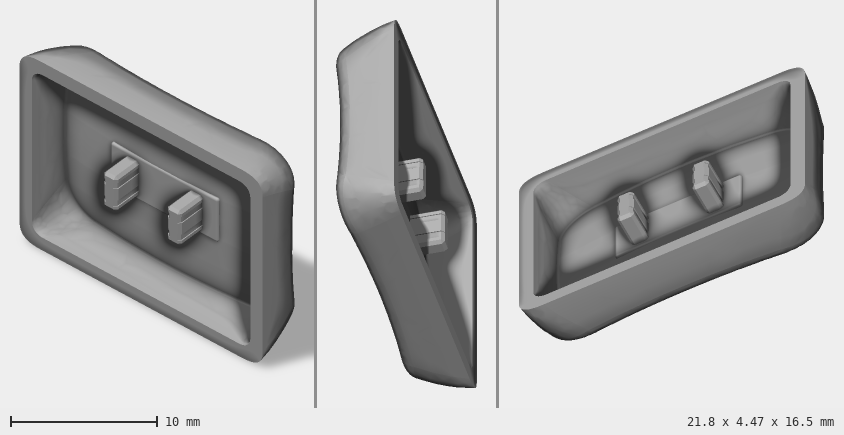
import cadquery as cq


LENGTH = 21.8
WIDTH = 16.45
RIM_WALL = 1.11

LOFT_HEIGHT = 5.23
LOFT_SECTIONS = 4

DISH_BOTTOM = 3.55
DISH_RADIUS_X = 75.25
DISH_RADIUS_Z = 46.9
DISH_HALF_SPAN = 10.9
DISH_EDGE_FILLET = 1.15

CEILING_BOTTOM = 2.45
CEILING_FILLET = 0.15

PAD_LENGTH = 9.65
PAD_WIDTH = 3.77
PAD_FACE = 2.4
PAD_FILLET = 0.2

PRONG_SPACING = 5.71
PRONG_THICKNESS = 1.25
PRONG_WIDTH = 3.0
PRONG_CHAMFER = 0.22
GROOVE_DEPTH = 0.076
GROOVE_WIDTH = 0.52
GROOVE_OFFSET = 0.76

EMBED = 0.87


def section(workplane, half_x, half_z, corner_x, corner_z, fullness):
    """Draw a rectangle with rounded corners; a higher fullness gives squarer corners."""
    handle_x = corner_x * (1 - fullness)
    handle_z = corner_z * (1 - fullness)
    flat_x = half_x - corner_x
    flat_z = half_z - corner_z
    pull_x = half_x - handle_x
    pull_z = half_z - handle_z
    return (
        workplane.moveTo(-flat_x, -half_z)
        .lineTo(flat_x, -half_z)
        .bezier([(flat_x, -half_z), (pull_x, -half_z), (half_x, -pull_z), (half_x, -flat_z)])
        .lineTo(half_x, flat_z)
        .bezier([(half_x, flat_z), (half_x, pull_z), (pull_x, half_z), (flat_x, half_z)])
        .lineTo(-flat_x, half_z)
        .bezier([(-flat_x, half_z), (-pull_x, half_z), (-half_x, pull_z), (-half_x, flat_z)])
        .lineTo(-half_x, -flat_z)
        .bezier([(-half_x, -flat_z), (-half_x, -pull_z), (-pull_x, -half_z), (-flat_x, -half_z)])
        .close()
    )


def tapered_block(rim, lean, rim_corner, corner_growth, rim_fullness, fullness_loss):
    """Loft a block whose sides curve inward and whose corners grow with height.

    rim, lean, rim_corner and corner_growth are (X, Z) pairs. The sides lean in by lean * y^2.
    """
    block = cq.Workplane("XZ")
    step = LOFT_HEIGHT / (LOFT_SECTIONS - 1)
    for index in range(LOFT_SECTIONS):
        y = index * step
        half_x, half_z = (size / 2 - rate * y**2 for size, rate in zip(rim, lean))
        corner_x, corner_z = (start + rate * y for start, rate in zip(rim_corner, corner_growth))
        fullness = rim_fullness - fullness_loss * y
        block = section(block, half_x, half_z, corner_x, corner_z, fullness)
        if index < LOFT_SECTIONS - 1:
            block = block.workplane(offset=-step)
    return block.loft()


def dish_barrel(bottom):
    """Barrel about an axis parallel to Z, touching Y = bottom at its widest."""
    axis_y = bottom + DISH_RADIUS_X
    end_rise = DISH_RADIUS_Z - (DISH_RADIUS_Z**2 - DISH_HALF_SPAN**2) ** 0.5
    return (
        cq.Workplane("YZ")
        .moveTo(axis_y, -DISH_HALF_SPAN)
        .lineTo(bottom + end_rise, -DISH_HALF_SPAN)
        .threePointArc((bottom, 0), (bottom + end_rise, DISH_HALF_SPAN))
        .lineTo(axis_y, DISH_HALF_SPAN)
        .close()
        .revolve(360, (axis_y, 0), (axis_y, 1))
    )


def outer_body():
    """Solid keycap with a dished, rounded-over top."""
    block = tapered_block(
        rim=(LENGTH, WIDTH),
        lean=(0.02751, 0.03576),
        rim_corner=(1.88, 1.45),
        corner_growth=(0.4, 0.34),
        rim_fullness=0.7,
        fullness_loss=0.02751,
    )
    return block.cut(dish_barrel(DISH_BOTTOM)).faces(">Y").edges().fillet(DISH_EDGE_FILLET)


def cavity():
    """Hollow inside whose ceiling follows the curve of the dish."""
    block = tapered_block(
        rim=(LENGTH - 2 * RIM_WALL, WIDTH - 2 * RIM_WALL),
        lean=(0.03668, 0.04127),
        rim_corner=(1.0, 0.95),
        corner_growth=(0.5, 0.48),
        rim_fullness=0.6,
        fullness_loss=0.00917,
    )
    return block.cut(dish_barrel(CEILING_BOTTOM)).faces(">Y").edges().fillet(CEILING_FILLET)


def pad():
    """Stem pad with rounded corners and front edges, sunk into the roof."""
    return (
        cq.Workplane("XY")
        .box(PAD_LENGTH, EMBED, PAD_WIDTH)
        .translate((0, PAD_FACE + EMBED / 2, 0))
        .edges("|Y or <Y")
        .fillet(PAD_FILLET)
    )


def blade(thickness):
    """Blade with its tip at Y = 0, chamfered along its length and around the tip."""
    length = PAD_FACE + EMBED
    return (
        cq.Workplane("XY")
        .box(thickness, length, PRONG_WIDTH)
        .edges("|Y or <Y")
        .chamfer(PRONG_CHAMFER)
        .translate((0, length / 2, 0))
    )


def prong(center_x):
    """Blade grooved along both sides; the grooves keep their depth over the tip chamfer."""
    lands = blade(PRONG_THICKNESS)
    core = blade(PRONG_THICKNESS - 2 * GROOVE_DEPTH)
    reach = 2 * (PAD_FACE + EMBED)
    for end in (-1, 1):
        band = cq.Workplane("XY").box(PRONG_THICKNESS, reach, GROOVE_WIDTH)
        lands = lands.cut(band.translate((0, 0, end * GROOVE_OFFSET)))
    return lands.union(core).translate((center_x, 0, 0))


result = outer_body().cut(cavity()).union(pad())
for side in (-1, 1):
    result = result.union(prong(side * PRONG_SPACING / 2))